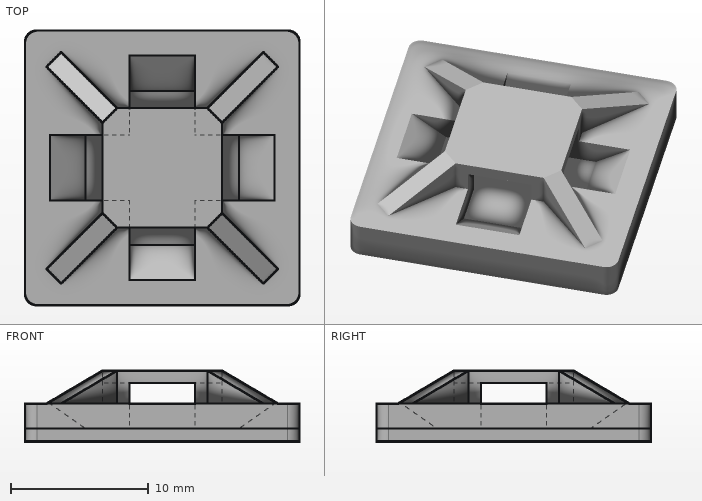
import cadquery as cq
import math

side = 20.0
corner_radius = 0.9

liner_thickness = 0.1
tape_thickness = 0.9
plate_thickness = 1.8
boss_height = 2.4

tape_bottom = liner_thickness
plate_bottom = tape_bottom + tape_thickness
plate_top = plate_bottom + plate_thickness
boss_top = plate_top + boss_height

boss_side = 8.7
rib_width = 1.5
rib_tip_radius = 11.15
rib_root_radius = boss_side / math.sqrt(2) - rib_width / 2

channel_width = 4.75
roof_thickness = 0.9
channel_half_length = 8.17
channel_floor_half_length = 5.6
channel_roof = boss_top - roof_thickness


def square_layer(bottom, thickness):
    """Flat square slab with rounded vertical corners."""
    return (
        cq.Workplane("XY", origin=(0, 0, bottom))
        .rect(side, side)
        .extrude(thickness)
        .edges("|Z")
        .fillet(corner_radius)
    )


def boss():
    """Square block with its corners cut flat where the ribs join."""
    return (
        cq.Workplane("XY", origin=(0, 0, plate_top))
        .rect(boss_side, boss_side)
        .extrude(boss_height)
        .edges("|Z")
        .chamfer(rib_width / math.sqrt(2))
    )


def rib_pair():
    """Two opposite ribs along X, sloping from the boss top down to the plate."""
    return (
        cq.Workplane("XZ")
        .moveTo(-rib_tip_radius, plate_top)
        .lineTo(rib_tip_radius, plate_top)
        .lineTo(rib_root_radius, boss_top)
        .lineTo(-rib_root_radius, boss_top)
        .close()
        .extrude(rib_width / 2, both=True)
    )


def strap_channel():
    """Cutter along X: a ramped trough in the plate and a tunnel through the boss."""
    trough = (
        cq.Workplane("XZ")
        .moveTo(-channel_floor_half_length, plate_bottom)
        .lineTo(channel_floor_half_length, plate_bottom)
        .lineTo(channel_half_length, plate_top)
        .lineTo(-channel_half_length, plate_top)
        .close()
        .extrude(channel_width / 2, both=True)
    )
    tunnel = (
        cq.Workplane("XY", origin=(0, 0, plate_top))
        .rect(boss_side, channel_width)
        .extrude(channel_roof - plate_top)
    )
    return trough.union(tunnel)


def rotated(shape, angle):
    """Turn a shape about the vertical centre axis."""
    return shape.rotate((0, 0, 0), (0, 0, 1), angle)


liner = square_layer(0, liner_thickness)

tape = square_layer(tape_bottom, tape_thickness)

mount = square_layer(plate_bottom, plate_thickness).union(boss())
for rib_angle in (45, 135):
    mount = mount.union(rotated(rib_pair(), rib_angle))
for channel_angle in (0, 90):
    mount = mount.cut(rotated(strap_channel(), channel_angle))

result = cq.Compound.makeCompound([liner.val(), tape.val(), mount.val()])